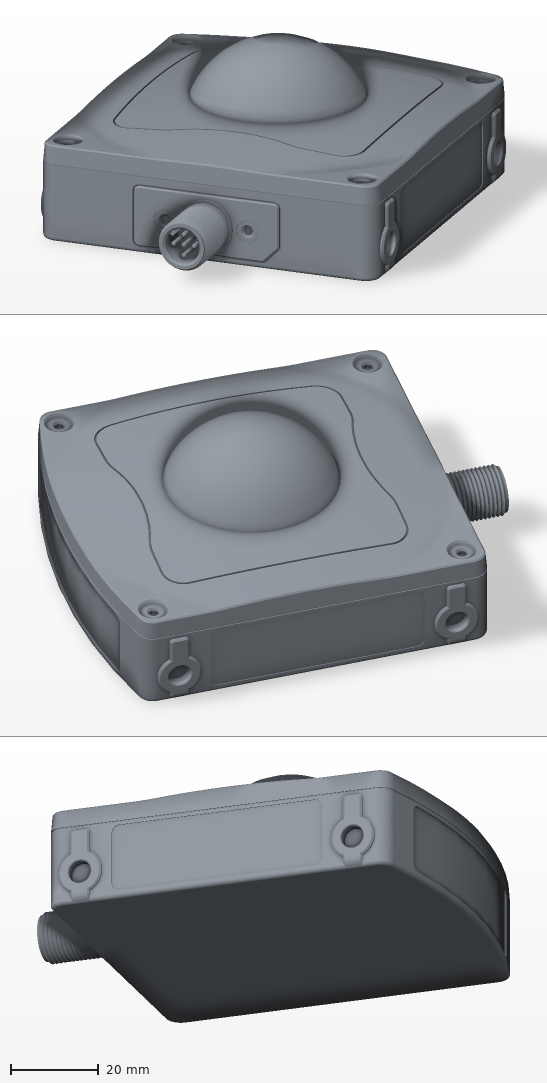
import cadquery as cq
import math


total_length = 104.1
chamfer_taper = 45.0

half_width = 41.2
half_depth = 44.3
back_arc_radius = 137.4
corner_radius = 3.7
bottom_fillet = 0.9

lid_base_z = 18.6
lid_flat_z = 23.0
lid_draft_angle = 5.0
lid_edge_chamfer = 0.3

seam_height = 0.3
seam_depth = 0.2

crown_radius = 286.2
crown_top_z = 26.6
crown_blend_radius = 8.3
dome_top_z = 39.3
dome_radius = 22.1

panel_half_width = 31.3
panel_corner_half_width = 30.4
panel_half_depth = 29.5
panel_waist_half_depth = 26.5
panel_waist_half_length = 17.9
panel_corner_radius = 5.8
waist_inner_arc_radius = 43.7
groove_width = 0.5
groove_depth = 0.5

lid_screw_x = 36.0
lid_screw_front_y = -39.0
lid_screw_back_y = 34.6
lid_screw_bore_radius = 3.5
lid_screw_bore_depth = 0.8
lid_screw_bore_taper = 40.0

socket_mouth_radius = 1.6
socket_mouth_depth = 0.4
hex_radius = 1.1
hex_depth = 1.2

boss_height = 0.78
boss_face_x = half_width + boss_height
boss_front_y = -36.0
boss_back_y = 30.1
boss_z = 7.2
boss_radius = 5.2
boss_neck_half_width = 2.3
boss_top_z = 17.5
boss_root_depth = 2.6
boss_edge_chamfer = 0.4
boss_foot_fillet = 2.1
boss_neck_fillet = 0.8
boss_hole_radius = 2.7
boss_hole_depth = 2.6
boss_hole_chamfer = 0.2

label_bottom_z = 1.7
label_top_z = 17.6
side_label_length = 51.0
label_radius = 1.8
side_label_depth = 0.2
back_label_length = 61.4
back_label_depth = 0.5

plate_gap_half_width = 18.1
plate_gap_bottom_z = 1.4
plate_gap_top_z = 16.5
plate_gap_width = 0.4
plate_gap_depth = 0.5
plate_corner_radius = 1.7
plate_corner_cut = 4.0
plate_height = 0.4
plate_face_y = -half_depth - plate_height
plate_edge_chamfer = 0.3
plate_screw_x = 10.1
plate_screw_recess_radius = 2.8
plate_screw_recess_depth = 0.2

connector_tip_y = half_depth - total_length
connector_z = 8.6
thread_radius = 6.0
thread_core_radius = 5.4
thread_pitch = 1.0
thread_turns = 14
collar_radius = 6.5
collar_length = 0.4
collar_root_depth = 1.0
bore_radius = 4.2
bore_depth = 8.3
bore_chamfer = 0.5
pin_radius = 0.5
pin_length = 7.3
pin_chamfer = 0.2
pin_spacing = 2.5
key_width = 1.2
key_height = 0.9
key_angle = 135.0


def housing_outline(z):
    """Square front and sides, with a bowed back edge."""
    back_centre_y = half_depth - back_arc_radius
    shoulder_y = back_centre_y + math.sqrt(back_arc_radius**2 - half_width**2)
    return (
        cq.Workplane("XY", origin=(0, 0, z))
        .moveTo(-half_width, -half_depth)
        .lineTo(half_width, -half_depth)
        .lineTo(half_width, shoulder_y)
        .threePointArc((0, half_depth), (-half_width, shoulder_y))
        .close()
    )


def rounded_housing(z, height):
    return housing_outline(z).extrude(height).edges("|Z").fillet(corner_radius)


def make_base():
    """Lower housing with a rounded bottom edge and the seam groove at its rim."""
    base = rounded_housing(0, lid_base_z).faces("<Z").edges().fillet(bottom_fillet)
    seam_z = lid_base_z - seam_height
    rim = rounded_housing(seam_z, seam_height)
    core = rim.faces("<Z").wires().toPending().workplane().offset2D(-seam_depth)
    core = core.extrude(-seam_height, combine=False)
    return base.cut(rim.cut(core))


def make_crown():
    """Spherical cap that blends into a flat at the lid corners."""
    centre_z = crown_top_z - crown_radius
    blend_centre_z = lid_flat_z + crown_blend_radius
    centre_distance = crown_radius + crown_blend_radius
    blend_outer_r = math.sqrt(centre_distance**2 - (blend_centre_z - centre_z) ** 2)
    blend_inner_r = blend_outer_r * crown_radius / centre_distance
    blend_inner_z = centre_z + math.sqrt(crown_radius**2 - blend_inner_r**2)
    mid_cap_r = blend_inner_r / 2
    mid_cap_z = centre_z + math.sqrt(crown_radius**2 - mid_cap_r**2)
    mid_blend_angle = math.asin(blend_outer_r / centre_distance) / 2
    mid_blend_r = blend_outer_r - crown_blend_radius * math.sin(mid_blend_angle)
    mid_blend_z = blend_centre_z - crown_blend_radius * math.cos(mid_blend_angle)
    reach = 2 * half_depth
    return (
        cq.Workplane("XZ")
        .moveTo(0, lid_base_z)
        .lineTo(0, crown_top_z)
        .threePointArc((mid_cap_r, mid_cap_z), (blend_inner_r, blend_inner_z))
        .threePointArc((mid_blend_r, mid_blend_z), (blend_outer_r, lid_flat_z))
        .lineTo(reach, lid_flat_z)
        .lineTo(reach, lid_base_z)
        .close()
        .revolve(360, (0, 0, 0), (0, 1, 0))
    )


def make_lid():
    """Drafted walls under the crown, with a chamfered top edge."""
    lid_height = crown_top_z - lid_base_z
    wire = rounded_housing(lid_base_z, lid_height).faces("<Z").wires().val()
    blank = (
        cq.Workplane("XY", origin=(0, 0, lid_base_z))
        .add(wire)
        .toPending()
        .extrude(lid_height, taper=lid_draft_angle)
    )
    lid = blank.intersect(make_crown())
    wall_normal_limit = math.sin(math.radians(2 * lid_draft_angle))
    rim_floor_z = (lid_base_z + lid_flat_z) / 2
    walls = lid.faces().filter(lambda face: abs(face.normalAt().z) < wall_normal_limit)
    top_edges = walls.edges().filter(lambda edge: edge.BoundingBox().zmin > rim_floor_z)
    return top_edges.chamfer(lid_edge_chamfer)


def make_dome():
    centre_z = dome_top_z - dome_radius
    ball = cq.Workplane("XY", origin=(0, 0, centre_z)).sphere(dome_radius)
    keep = cq.Workplane("XY", origin=(0, 0, lid_flat_z)).circle(dome_radius)
    keep = keep.extrude(dome_top_z - lid_flat_z)
    return ball.intersect(keep)


def panel_outline():
    """Bowed sides, rounded corners and a waisted front and back edge."""
    drop = panel_half_depth - panel_waist_half_depth
    radius_sum = (panel_waist_half_length**2 + drop**2) / (2 * drop)
    inner_share = waist_inner_arc_radius / radius_sum
    bend_x = panel_waist_half_length * inner_share
    bend_y = panel_waist_half_depth + drop * inner_share
    outline = cq.Workplane("XY", origin=(0, 0, lid_flat_z)).moveTo(
        -panel_corner_half_width, -panel_half_depth
    )
    for side in (-1, 1):
        outline = (
            outline.lineTo(side * panel_waist_half_length, side * panel_half_depth)
            .tangentArcPoint((side * bend_x, side * bend_y), relative=False)
            .threePointArc((0, side * panel_waist_half_depth), (-side * bend_x, side * bend_y))
            .tangentArcPoint((-side * panel_waist_half_length, side * panel_half_depth), relative=False)
            .lineTo(-side * panel_corner_half_width, side * panel_half_depth)
            .threePointArc(
                (-side * panel_half_width, 0),
                (-side * panel_corner_half_width, -side * panel_half_depth),
            )
        )
    return outline.close()


def make_panel_groove():
    """Groove of even depth that follows the crown."""
    block = panel_outline().extrude(crown_top_z - lid_flat_z)
    corner_limit_x = (panel_waist_half_length + panel_corner_half_width) / 2
    corners = block.edges("|Z").filter(lambda edge: abs(edge.Center().x) > corner_limit_x)
    block = corners.fillet(panel_corner_radius)
    inside = block.faces("<Z").wires().toPending().workplane(invert=True)
    inside = inside.offset2D(-groove_width).extrude(crown_top_z - lid_flat_z, combine=False)
    groove_floor = make_crown().translate((0, 0, -groove_depth))
    return block.cut(inside).cut(groove_floor)


def side_plane(side, x, y, z):
    """Plane that faces outward from the +X or -X side."""
    return cq.Plane(origin=(side * x, y, z), xDir=(0, side, 0), normal=(side, 0, 0))


def make_keyhole_boss(side, y):
    """Upright bar with rounded corners and foot and a round disc across it, both chamfered."""
    root_x = boss_face_x - boss_root_depth
    plane = side_plane(side, root_x, y, 0)
    neck = (
        cq.Workplane(plane)
        .center(0, boss_top_z / 2)
        .rect(2 * boss_neck_half_width, boss_top_z)
        .extrude(boss_root_depth)
    )
    face = ">X" if side > 0 else "<X"
    neck = neck.edges("|X and >Z").fillet(boss_neck_fillet)
    neck = neck.faces(face).edges("<Z").fillet(boss_foot_fillet)
    disc = cq.Workplane(plane).center(0, boss_z).circle(boss_radius).extrude(boss_root_depth)
    disc = disc.faces(face).edges().chamfer(boss_edge_chamfer)
    neck = neck.faces(face).edges("not <Z").chamfer(boss_edge_chamfer)
    return neck.union(disc)


def make_boss_hole(side, y):
    plane = side_plane(side, boss_face_x, y, boss_z)
    hole = cq.Workplane(plane).circle(boss_hole_radius).extrude(-boss_hole_depth)
    mouth = cq.Workplane(plane).circle(boss_hole_radius + boss_hole_chamfer)
    return hole.union(mouth.extrude(-boss_hole_chamfer, taper=chamfer_taper))


def make_screw_socket(plane):
    """Hex socket with a conical mouth, sunk below the given plane."""
    mouth_taper = math.degrees(math.atan((socket_mouth_radius - hex_radius) / socket_mouth_depth))
    mouth = cq.Workplane(plane).circle(socket_mouth_radius)
    mouth = mouth.extrude(-socket_mouth_depth, taper=mouth_taper)
    return mouth.union(cq.Workplane(plane).polygon(6, 2 * hex_radius).extrude(-hex_depth))


def make_lid_screw_bore(x, y):
    """Conical counterbore whose floor is a socket-head screw."""
    bore = cq.Workplane("XY", origin=(x, y, lid_flat_z)).circle(lid_screw_bore_radius)
    bore = bore.extrude(-lid_screw_bore_depth, taper=lid_screw_bore_taper)
    floor = cq.Plane(origin=(x, y, lid_flat_z - lid_screw_bore_depth))
    return bore.union(make_screw_socket(floor))


def make_side_label(side):
    middle_y = (boss_front_y + boss_back_y) / 2
    middle_z = (label_bottom_z + label_top_z) / 2
    plane = side_plane(side, half_width, middle_y, middle_z)
    block = cq.Workplane(plane).rect(side_label_length, label_top_z - label_bottom_z)
    block = block.extrude(-side_label_depth)
    return block.edges("|X").fillet(label_radius)


def make_back_label():
    """Recess of even depth in the bowed back face."""
    middle_z = (label_bottom_z + label_top_z) / 2
    block = cq.Workplane("XZ", origin=(0, 0, middle_z))
    block = block.rect(back_label_length, label_top_z - label_bottom_z).extrude(-half_depth)
    block = block.edges("|Y").fillet(label_radius)
    core = housing_outline(0).extrude(lid_base_z).translate((0, -back_label_depth, 0))
    return block.cut(core)


def plate_block(y, height, margin):
    """Plate with one cut-off corner, inset by a margin from the edge of its gap."""
    half = plate_gap_half_width - margin
    bottom = plate_gap_bottom_z + margin
    top = plate_gap_top_z - margin
    cut = plate_corner_cut - margin * (2 - math.sqrt(2))
    block = (
        cq.Workplane("XZ", origin=(0, y, 0))
        .moveTo(-half, bottom)
        .lineTo(half - cut, bottom)
        .lineTo(half, bottom + cut)
        .lineTo(half, top)
        .lineTo(-half, top)
        .close()
        .extrude(height)
    )
    return block.edges("|Y and (>Z or <X)").fillet(plate_corner_radius - margin)


def make_plate():
    gap_floor_y = -half_depth + plate_gap_depth
    block = plate_block(gap_floor_y, plate_gap_depth + plate_height, plate_gap_width)
    return block.faces("<Y").edges().chamfer(plate_edge_chamfer)


def make_plate_pocket():
    return plate_block(-half_depth + plate_gap_depth, plate_gap_depth, 0)


def make_plate_screw_cut(x):
    """Shallow round recess whose floor is a socket-head screw."""
    recess = cq.Workplane("XZ", origin=(x, plate_face_y, connector_z)).circle(plate_screw_recess_radius)
    recess = recess.extrude(-plate_screw_recess_depth)
    floor_y = plate_face_y + plate_screw_recess_depth
    floor = cq.Plane(origin=(x, floor_y, connector_z), xDir=(1, 0, 0), normal=(0, -1, 0))
    return recess.union(make_screw_socket(floor))


def make_connector():
    """Collar and threaded barrel; the thread is a stack of ridges one pitch apart."""
    collar_end = -plate_face_y + collar_length
    tip = -connector_tip_y
    profile = (
        cq.Workplane("XY")
        .moveTo(0, half_depth - collar_root_depth)
        .lineTo(collar_radius, half_depth - collar_root_depth)
        .lineTo(collar_radius, collar_end)
        .lineTo(thread_core_radius, collar_end)
    )
    for turn in range(thread_turns):
        start = collar_end + turn * thread_pitch
        profile = profile.lineTo(thread_radius, start + thread_pitch / 2)
        profile = profile.lineTo(thread_core_radius, start + thread_pitch)
    profile = profile.lineTo(thread_core_radius, tip).lineTo(0, tip).close()
    barrel = profile.revolve(360, (0, 0, 0), (0, 1, 0))
    return barrel.rotate((0, 0, 0), (0, 0, 1), 180).translate((0, 0, connector_z))


def make_connector_socket():
    """Bore in the connector tip, leaving the pins and the key standing."""
    floor = cq.Workplane("XZ", origin=(0, connector_tip_y + bore_depth, connector_z))
    tip = cq.Workplane("XZ", origin=(0, connector_tip_y, connector_z))
    bore = floor.circle(bore_radius).extrude(bore_depth)
    mouth = tip.circle(bore_radius + bore_chamfer).extrude(-bore_chamfer, taper=chamfer_taper)
    pin_places = [(0, 0), (pin_spacing, 0), (-pin_spacing, 0), (0, pin_spacing), (0, -pin_spacing)]
    pins = floor.pushPoints(pin_places).circle(pin_radius).extrude(pin_length)
    pins = pins.faces("<Y").edges().chamfer(pin_chamfer)
    key = floor.center(bore_radius, 0).rect(2 * key_height, key_width).extrude(pin_length)
    key = key.rotate((0, 0, connector_z), (0, -1, connector_z), key_angle)
    return bore.union(mouth).cut(pins).cut(key)


result = make_base().union(make_lid()).union(make_dome())
result = result.cut(make_panel_groove()).cut(make_back_label())
for screw_x in (-lid_screw_x, lid_screw_x):
    for screw_y in (lid_screw_front_y, lid_screw_back_y):
        result = result.cut(make_lid_screw_bore(screw_x, screw_y))
for side in (-1, 1):
    result = result.cut(make_side_label(side))
    for boss_y in (boss_front_y, boss_back_y):
        result = result.union(make_keyhole_boss(side, boss_y)).cut(make_boss_hole(side, boss_y))
result = result.cut(make_plate_pocket()).union(make_plate())
for screw_x in (-plate_screw_x, plate_screw_x):
    result = result.cut(make_plate_screw_cut(screw_x))
result = result.union(make_connector()).cut(make_connector_socket())